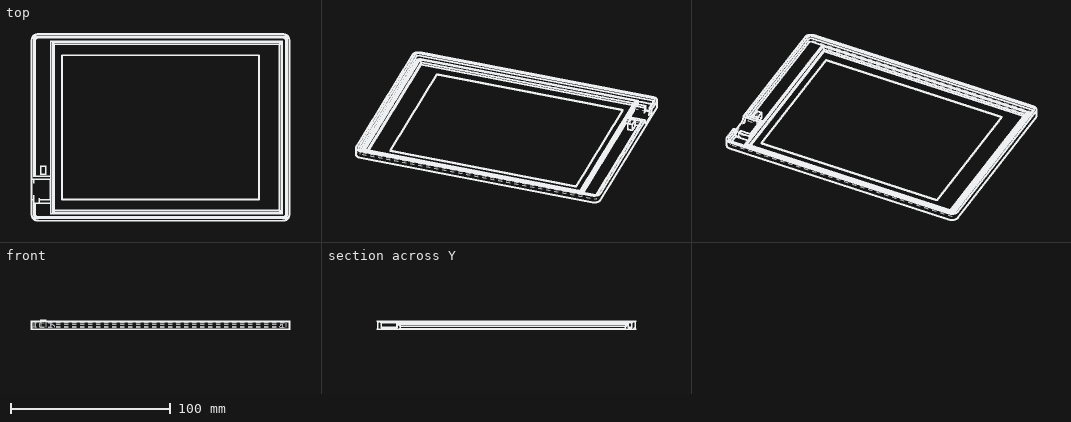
import cadquery as cq

LENGTH = 161.4
WIDTH = 116.8
HEIGHT = 5.0
CORNER_RADIUS = 4.0
LEFT = -LENGTH / 2
RIGHT = LENGTH / 2
HALF_WIDTH = WIDTH / 2

TRENCH_FLOOR = 1.2
SCREEN_FLOOR = 0.4
RING_TOP = 3.2
POST_TOP = 5.6

RIM = 1.5
RIM_BEVEL = 1.0
HOLLOW_RADIUS = 2.0

WINDOW_LENGTH = 123.0
WINDOW_WIDTH = 90.2

RING_LEFT = LEFT + 12.2
RING_MARGIN = 4.5
RING_LEFT_WALL = 1.0
RING_WALL = 0.8
SEAT_BEVEL = 1.2

POST_X = LEFT + 7.3
POST_Y = -26.8
POST_LENGTH = 3.2
POST_WIDTH = 5.2

BAY_FLOOR = 1.75
BAY_Y_MAX = -32.3
BAY_Y_MIN = -45.2
BAY_UPPER_RADIUS = 1.2
BAY_LOWER_RADIUS = 0.6
BAY_LIP = 0.6
GROOVE_TOP = 4.1
NOTCH_RADIUS = 2.3
UPPER_RIB = 1.8
LOWER_RIB = 2.3
LOWER_RIB_START = LEFT + 4.8


def box(x_min, x_max, y_min, y_max, z_min, z_max):
    """Axis-aligned block given by its limits."""
    block = cq.Workplane("XY").box(x_max - x_min, y_max - y_min, z_max - z_min, centered=False)
    return block.translate((x_min, y_min, z_min))


def rounded_rectangle(x_min, x_max, half_width, radius):
    """Flat outline, symmetric about the X axis; a radius of zero leaves its corners sharp."""
    sketch = cq.Sketch().rect(x_max - x_min, 2 * half_width)
    if radius > 0:
        sketch = sketch.vertices().fillet(radius)
    return sketch.moved(cq.Location(cq.Vector((x_min + x_max) / 2, 0, 0)))


def bevelled_pocket(x_min, x_max, half_width, floor, top, bevel, radius=0):
    """Solid to cut: a mouth narrowing at 45 degrees from the top, then straight walls to the floor."""
    mouth_outline = rounded_rectangle(x_min, x_max, half_width, radius)
    mouth = cq.Workplane("XY", origin=(0, 0, top)).placeSketch(mouth_outline).extrude(-bevel, taper=45)

    wall_outline = rounded_rectangle(x_min + bevel, x_max - bevel, half_width - bevel, radius - bevel)
    shaft = cq.Workplane("XY", origin=(0, 0, floor)).placeSketch(wall_outline).extrude(top - bevel - floor)
    return mouth.union(shaft)


def rim_hollow():
    return bevelled_pocket(
        LEFT + RIM, RIGHT - RIM, HALF_WIDTH - RIM,
        TRENCH_FLOOR, HEIGHT, RIM_BEVEL, HOLLOW_RADIUS,
    )


def ring():
    return box(
        RING_LEFT, RIGHT - RING_MARGIN,
        RING_MARGIN - HALF_WIDTH, HALF_WIDTH - RING_MARGIN,
        TRENCH_FLOOR, RING_TOP,
    )


def screen_seat():
    return bevelled_pocket(
        RING_LEFT + RING_LEFT_WALL, RIGHT - RING_MARGIN - RING_WALL,
        HALF_WIDTH - RING_MARGIN - RING_WALL,
        SCREEN_FLOOR, RING_TOP, SEAT_BEVEL,
    )


def bay_block():
    """Raised block that carries the bay floor and both ribs."""
    return box(
        LEFT + RIM, RING_LEFT,
        BAY_Y_MIN - LOWER_RIB, BAY_Y_MAX + UPPER_RIB,
        TRENCH_FLOOR, HEIGHT,
    )


def bay_cut():
    """Space for the connector, open at the top and with a V groove under the lip at its ring end."""
    bay_start = LEFT + RIM
    bay = box(bay_start, RING_LEFT - BAY_LIP, BAY_Y_MIN, BAY_Y_MAX, BAY_FLOOR, HEIGHT)
    bay = bay.faces("<Z").edges(">Y").fillet(BAY_UPPER_RADIUS)
    bay = bay.faces("<Z").edges("<Y").fillet(BAY_LOWER_RADIUS)

    groove_profile = [
        (RING_LEFT - BAY_LIP, BAY_FLOOR),
        (RING_LEFT, (BAY_FLOOR + GROOVE_TOP) / 2),
        (RING_LEFT - BAY_LIP, GROOVE_TOP),
    ]
    groove = cq.Workplane("XZ", origin=(0, BAY_Y_MAX, 0)).polyline(groove_profile).close()
    groove = groove.extrude(BAY_Y_MAX - BAY_Y_MIN)

    side_gap = box(
        bay_start, LOWER_RIB_START,
        BAY_Y_MIN - LOWER_RIB, BAY_Y_MIN + BAY_LOWER_RADIUS,
        BAY_FLOOR, HEIGHT,
    )
    return bay.union(groove).union(side_gap)


def rim_notch():
    """Rounded opening through the left rim into the bay."""
    notch = box(LEFT, LEFT + RIM, BAY_Y_MIN, BAY_Y_MAX, BAY_FLOOR, HEIGHT)
    return notch.faces("<Z").edges("|X").fillet(NOTCH_RADIUS)


def post():
    return box(
        POST_X - POST_LENGTH / 2, POST_X + POST_LENGTH / 2,
        POST_Y - POST_WIDTH / 2, POST_Y + POST_WIDTH / 2,
        TRENCH_FLOOR, POST_TOP,
    )


plate = cq.Workplane("XY").rect(LENGTH, WIDTH).extrude(HEIGHT).edges("|Z").fillet(CORNER_RADIUS)
window = cq.Workplane("XY").rect(WINDOW_LENGTH, WINDOW_WIDTH).extrude(HEIGHT)

frame = plate.cut(rim_hollow()).union(ring()).cut(screen_seat()).cut(window)
result = frame.union(bay_block()).cut(bay_cut()).cut(rim_notch()).union(post())